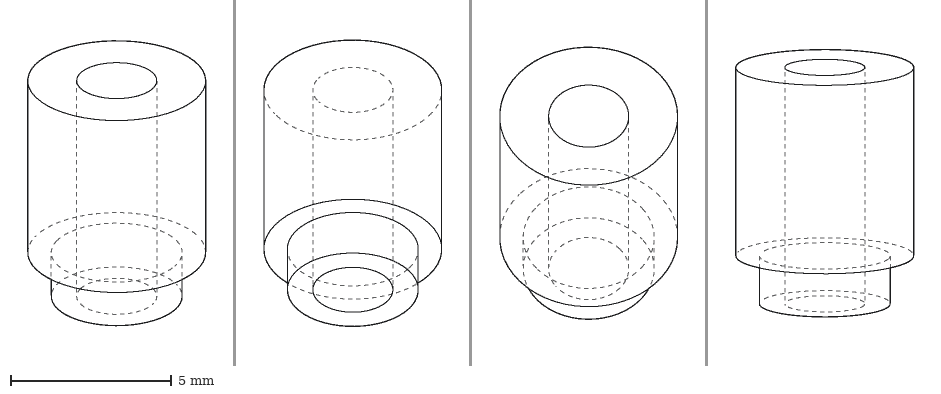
import cadquery as cq

total_height = 7.53
body_diameter = 5.56
spigot_diameter = 4.09
bore_diameter = 2.5
spigot_height = 1.53
body_height = total_height - spigot_height

spigot = cq.Workplane("XY").circle(spigot_diameter / 2).extrude(spigot_height)

stepped_bush = spigot.faces(">Z").workplane().circle(body_diameter / 2).extrude(body_height)

result = stepped_bush.faces(">Z").workplane().hole(bore_diameter)